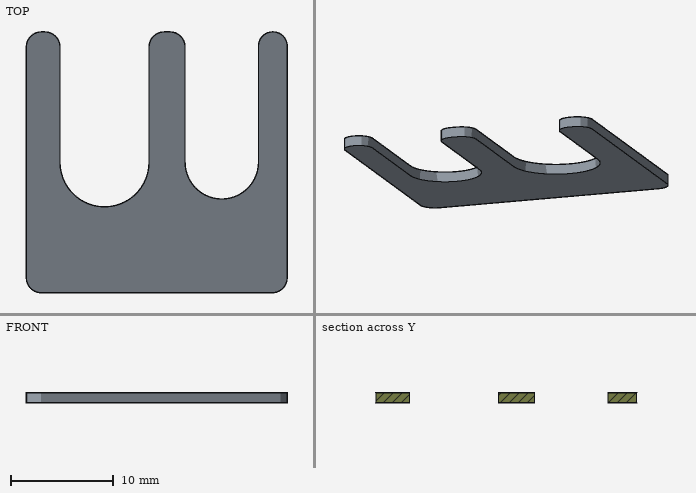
import cadquery as cq

side = 25.4
thickness = 1.0
corner_radius = 1.5

slot_centre_y = side / 2
wide_slot_x = 7.62
wide_slot_width = 8.64
narrow_slot_x = 19.02
narrow_slot_width = 7.1

slim_tip_radius = 1.4


def open_slot(centre_x, width):
    """Cutter with a round inner end, running out through the +Y edge."""
    radius = width / 2
    return (
        cq.Workplane("XY")
        .moveTo(centre_x - radius, side)
        .lineTo(centre_x - radius, slot_centre_y)
        .threePointArc((centre_x, slot_centre_y - radius), (centre_x + radius, slot_centre_y))
        .lineTo(centre_x + radius, side)
        .close()
        .extrude(thickness)
    )


def round_tips(body, x_min, x_max, radius):
    """Round the vertical edges at the +Y edge that lie between two X positions."""
    tip_edges = body.edges("|Z and >Y").filter(lambda edge: x_min < edge.Center().x < x_max)
    return tip_edges.fillet(radius)


plate = cq.Workplane("XY").box(side, side, thickness, centered=False)
plate = plate.cut(open_slot(wide_slot_x, wide_slot_width))
plate = plate.cut(open_slot(narrow_slot_x, narrow_slot_width))

plate = plate.edges("|Z and <Y").fillet(corner_radius)

plate = round_tips(plate, -side, narrow_slot_x, corner_radius)
result = round_tips(plate, narrow_slot_x, 2 * side, slim_tip_radius)